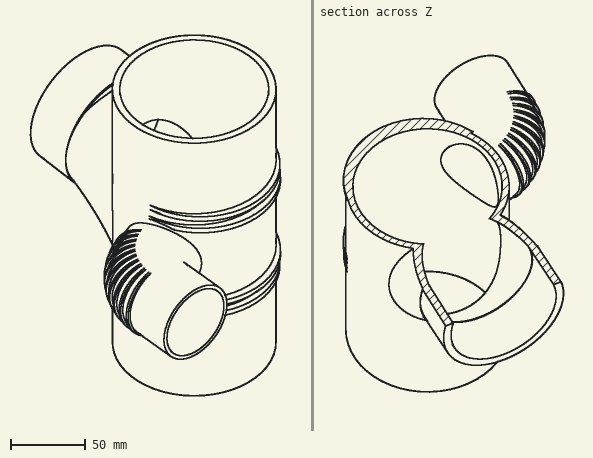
import cadquery as cq
import math

PIPE_RADIUS = 55.0
PIPE_BORE_RADIUS = 50.0
PIPE_HEIGHT = 226.0

OUTLET_TILT = 1.5

SOCKET_AXIS_HEIGHT = 135.2
SOCKET_REACH = 114.85
SOCKET_RADIUS = 45.0
SOCKET_BORE_RADIUS = 39.4
SOCKET_BORE_DEPTH = 36.5
SOCKET_LENGTH = 35.5
COLLAR_BASE_RADIUS = 43.5
COLLAR_TIP_RADIUS = 41.8
COLLAR_LENGTH = 2.4

ELBOW_PIVOT_X = -134.0
ELBOW_PIVOT_Z = 4.3
ELBOW_BEND_RADIUS = 144.0
ELBOW_HALF_WIDTH = 44.8
ELBOW_HALF_DEPTH = 40.0
ELBOW_WALL = 5.0
ELBOW_SWEEP = 60.0

BRANCH_HEIGHT = 118.0
BRANCH_ANGLE = 67.5
BRANCH_RADIUS = 28.3
BRANCH_BORE_RADIUS = 25.6
BRANCH_STRAIGHT = 62.6
BRANCH_BEND_RADIUS = 31.0
BRANCH_REACH = 87.75
BRANCH_ROOT = 45.0
BORE_ROOT = 40.0

RIB_COUNT = 10
RIB_THICKNESS = 1.8
RIB_RADIUS = 27.6
RIB_OFFSET = 2.5

RING_RADIUS = 53.7
RING_THICKNESS = 4.0
RING_MIDDLE_HEIGHT = 117.7
RING_PAIRS = ((33.2, 6.4), (43.2, 5.9))
RING_CLEARANCE_RADIUS = 32.6


def main_cylinder(radius):
    """Full-height cylinder about the pipe axis."""
    return cq.Workplane("XY").circle(radius).extrude(PIPE_HEIGHT)


def place_on_pipe(shape, height, tilt):
    """Tilt a shape about the Y axis, then lift it to its height on the pipe."""
    return shape.rotate((0, 0, 0), (0, 1, 0), tilt).translate((0, 0, height))


def socket_cylinder(radius, length):
    """Cylinder from the socket mouth inwards along the socket axis."""
    blank = cq.Workplane("YZ").workplane(offset=-SOCKET_REACH).circle(radius).extrude(length)
    return place_on_pipe(blank, SOCKET_AXIS_HEIGHT, OUTLET_TILT)


def socket_collar():
    """Cone at the inner end of the socket."""
    cone = cq.Solid.makeCone(
        COLLAR_BASE_RADIUS,
        COLLAR_TIP_RADIUS,
        COLLAR_LENGTH,
        pnt=cq.Vector(SOCKET_LENGTH - SOCKET_REACH, 0, 0),
        dir=cq.Vector(1, 0, 0),
    )
    return place_on_pipe(cq.Workplane(cone), SOCKET_AXIS_HEIGHT, OUTLET_TILT)


def elbow_tube(half_width, half_depth, start_depth):
    """Curved elliptical bar, kept only beyond start_depth behind the socket mouth."""
    bar = (
        cq.Workplane("YZ", origin=(ELBOW_PIVOT_X, 0, ELBOW_PIVOT_Z))
        .center(0, ELBOW_BEND_RADIUS)
        .ellipse(half_width, half_depth)
        .revolve(ELBOW_SWEEP, (0, -ELBOW_BEND_RADIUS), (1, -ELBOW_BEND_RADIUS))
    )
    keep_size = 2 * PIPE_HEIGHT
    keep = cq.Workplane("XY").box(keep_size, keep_size, keep_size, centered=(False, True, True))
    keep = keep.translate((start_depth - SOCKET_REACH, 0, 0))
    return bar.intersect(place_on_pipe(keep, SOCKET_AXIS_HEIGHT, OUTLET_TILT))


BRANCH_RAD = math.radians(BRANCH_ANGLE)
BRANCH_DIRECTION = (math.cos(BRANCH_RAD), -math.sin(BRANCH_RAD))
BEND_START = tuple(BRANCH_STRAIGHT * part for part in BRANCH_DIRECTION)
BEND_PIVOT = (
    BEND_START[0] + BRANCH_BEND_RADIUS * math.sin(BRANCH_RAD),
    BEND_START[1] + BRANCH_BEND_RADIUS * math.cos(BRANCH_RAD),
)


def bend_point(angle, radius):
    """Point at a radius from the bend pivot; 0 degrees is the +X outlet end of the bend."""
    turn = math.radians(angle)
    return (BEND_PIVOT[0] - radius * math.sin(turn), BEND_PIVOT[1] - radius * math.cos(turn))


def branch_tube(radius, root):
    """Round bar along the branch axis: radial leg, bend, then outlet leg along +X."""
    start = tuple(root * part for part in BRANCH_DIRECTION)
    bend_middle = bend_point(BRANCH_ANGLE / 2, BRANCH_BEND_RADIUS)
    bend_end = bend_point(0, BRANCH_BEND_RADIUS)
    path = (
        cq.Workplane("XY")
        .moveTo(*start)
        .lineTo(*BEND_START)
        .threePointArc(bend_middle, bend_end)
        .lineTo(BRANCH_REACH, bend_end[1])
    )
    section = cq.Plane(origin=(*start, 0), xDir=(0, 0, 1), normal=(*BRANCH_DIRECTION, 0))
    tube = cq.Workplane(section).circle(radius).sweep(path)
    return place_on_pipe(tube, BRANCH_HEIGHT, -OUTLET_TILT)


def bend_rib(angle):
    """Thin disc across the bend, set off outwards so that it shows as a crescent."""
    centre = bend_point(angle, BRANCH_BEND_RADIUS + RIB_OFFSET)
    turn = math.radians(angle)
    plane = cq.Plane(origin=(*centre, 0), xDir=(0, 0, 1), normal=(math.cos(turn), -math.sin(turn), 0))
    rib = cq.Workplane(plane).circle(RIB_RADIUS).extrude(RIB_THICKNESS / 2, both=True)
    return place_on_pipe(rib, BRANCH_HEIGHT, -OUTLET_TILT)


def pipe_ring(height, offset):
    """Disc set off towards +X so that it stands out of the pipe as a crescent."""
    disc = cq.Workplane("XY").center(offset, 0).circle(RING_RADIUS)
    return disc.extrude(RING_THICKNESS / 2, both=True).translate((0, 0, height))


def ring_clearance():
    """Round plug along the root of the branch, where no ring may stand."""
    plane = cq.Plane(origin=(0, 0, 0), xDir=(0, 0, 1), normal=(*BRANCH_DIRECTION, 0))
    plug = cq.Workplane(plane).circle(RING_CLEARANCE_RADIUS).extrude(2 * PIPE_RADIUS)
    return place_on_pipe(plug, BRANCH_HEIGHT, -OUTLET_TILT)


body = main_cylinder(PIPE_RADIUS)
body = body.union(elbow_tube(ELBOW_HALF_WIDTH, ELBOW_HALF_DEPTH, SOCKET_LENGTH))
body = body.union(socket_collar())
body = body.union(socket_cylinder(SOCKET_RADIUS, SOCKET_LENGTH))
clearance = ring_clearance()
for spacing, offset in RING_PAIRS:
    for height in (RING_MIDDLE_HEIGHT + spacing, RING_MIDDLE_HEIGHT - spacing):
        body = body.union(pipe_ring(height, offset).cut(clearance))
body = body.union(branch_tube(BRANCH_RADIUS, BRANCH_ROOT))
for index in range(RIB_COUNT):
    body = body.union(bend_rib(BRANCH_ANGLE * index / (RIB_COUNT - 1)))

body = body.cut(main_cylinder(PIPE_BORE_RADIUS))
body = body.cut(socket_cylinder(SOCKET_BORE_RADIUS, SOCKET_BORE_DEPTH))
body = body.cut(
    elbow_tube(ELBOW_HALF_WIDTH - ELBOW_WALL, ELBOW_HALF_DEPTH - ELBOW_WALL, SOCKET_BORE_DEPTH)
)
body = body.cut(branch_tube(BRANCH_BORE_RADIUS, BORE_ROOT))

result = body